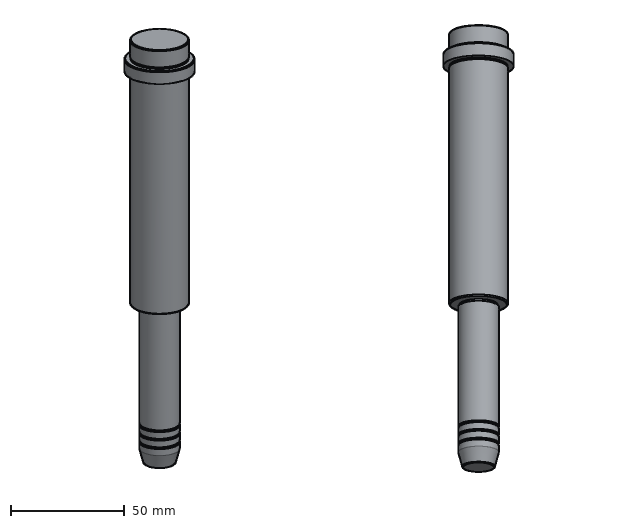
import cadquery as cq
import math

total_length = 200.0
spigot_length = 9.0
collar_thickness = 6.0
body_length = 110.0
collar_top = total_length - spigot_length
collar_bottom = collar_top - collar_thickness
body_bottom = collar_bottom - body_length

collar_radius = 31.0 / 2
body_radius = 26.0 / 2
pin_radius = 18.0 / 2

collar_chamfer = 0.5
spigot_chamfer = 0.5
body_chamfer = 0.5

relief_width = 1.0
relief_depth = 0.2
relief_slope_height = 0.5
neck_depth = 0.5

groove_width = 1.0
groove_depth = 0.3
groove_pitch = 4.0
groove_count = 3
lowest_groove_height = 10.5

nose_length = 7.0
nose_angle = 15.0
tip_chamfer = 0.5
nose_tip_radius = pin_radius - nose_length * math.tan(math.radians(nose_angle))


def cylinder(radius, bottom, top):
    """Solid cylinder on the Z axis between two heights."""
    return cq.Workplane("XY").workplane(offset=bottom).circle(radius).extrude(top - bottom)


def revolved(profile):
    """Solid of revolution about the Z axis from a closed (radius, height) outline."""
    return cq.Workplane("XZ").polyline(profile).close().revolve(360, (0, 0), (0, 1))


def make_relief(wall_height, direction):
    """Ring to cut beside a collar face: square at the collar, sloping back out to the body."""
    floor_radius = body_radius - relief_depth
    floor_end = wall_height + direction * (relief_width - relief_slope_height)
    relief_end = wall_height + direction * relief_width
    return revolved(
        [
            (body_radius, wall_height),
            (floor_radius, wall_height),
            (floor_radius, floor_end),
            (body_radius, relief_end),
        ]
    )


def make_neck():
    """Square-section ring to cut from the root of the pin."""
    return cylinder(pin_radius, body_bottom - relief_width, body_bottom).cut(
        cylinder(pin_radius - neck_depth, body_bottom - relief_width, body_bottom)
    )


def make_v_groove(middle):
    """V-section ring to cut around the pin at the given height."""
    return revolved(
        [
            (pin_radius, middle - groove_width / 2),
            (pin_radius - groove_depth, middle),
            (pin_radius, middle + groove_width / 2),
        ]
    )


def make_body():
    """Main cylinder, chamfered at both ends and relieved on both sides of the collar."""
    body = cylinder(body_radius, body_bottom, total_length)
    body = body.faces(">Z").chamfer(spigot_chamfer)
    body = body.faces("<Z").chamfer(body_chamfer)
    body = body.cut(make_relief(collar_top, 1))
    body = body.cut(make_relief(collar_bottom, -1))
    return body


def make_collar():
    """Locating collar with its upper edge chamfered."""
    return cylinder(collar_radius, collar_bottom, collar_top).faces(">Z").chamfer(collar_chamfer)


def make_pin():
    """Slender pin with a necked root, retaining grooves and a tapered nose."""
    pin = revolved(
        [
            (0, 0),
            (nose_tip_radius, 0),
            (pin_radius, nose_length),
            (pin_radius, body_bottom),
            (0, body_bottom),
        ]
    )
    pin = pin.faces("<Z").chamfer(tip_chamfer)
    pin = pin.cut(make_neck())
    for index in range(groove_count):
        pin = pin.cut(make_v_groove(lowest_groove_height + index * groove_pitch))
    return pin


result = make_body().union(make_collar()).union(make_pin())